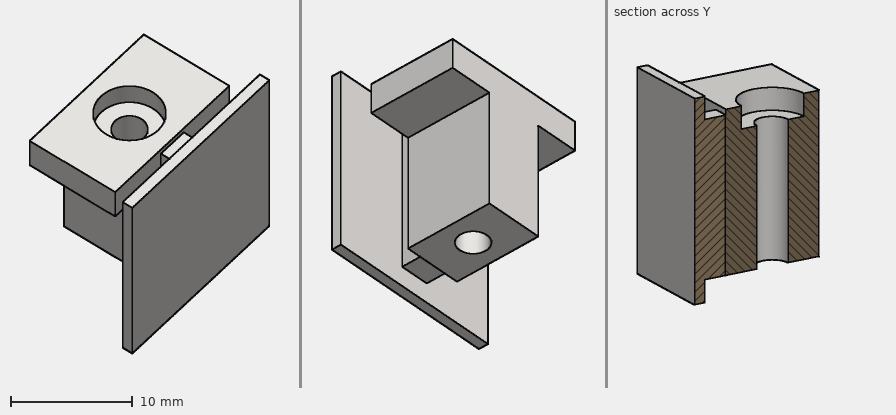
import cadquery as cq

plate_size = 18.0
plate_thickness = 1.0

rib_length = 2.0
rib_width = 3.0
rib_height = 14.0

block_depth = 9.02
head_width = 15.0
head_height = 3.0
leg_width = 6.0
block_height = 14.5

hole_diameter = 3.0
counterbore_diameter = 6.0
counterbore_depth = 2.0

base_z = (plate_size - rib_height) / 2

block_back_x = block_depth
plate_front_x = block_back_x + rib_length


def box_between(x_start, length, width, z_start, height):
    """Box centred on Y = 0 that starts at the given X and Z."""
    return (
        cq.Workplane("XY", origin=(x_start, 0, z_start))
        .box(length, width, height, centered=(False, True, False))
    )


def make_ribbed_plate():
    """Square plate with the rib standing on its -X face."""
    plate = box_between(plate_front_x, plate_thickness, plate_size, 0, plate_size)
    rib = box_between(block_back_x, rib_length, rib_width, base_z, rib_height)
    return plate.union(rib)


def make_block():
    """T-shaped block with a counterbored hole from the top of its head."""
    block_top_z = base_z + block_height
    leg = box_between(0, block_depth, leg_width, base_z, block_height)
    head = box_between(0, block_depth, head_width, block_top_z - head_height, head_height)
    return (
        leg.union(head)
        .faces(">Z")
        .workplane(origin=(block_depth / 2, 0, block_top_z))
        .cboreHole(hole_diameter, counterbore_diameter, counterbore_depth)
    )


ribbed_plate = make_ribbed_plate()
block = make_block()

result = cq.Compound.makeCompound([ribbed_plate.val(), block.val()])